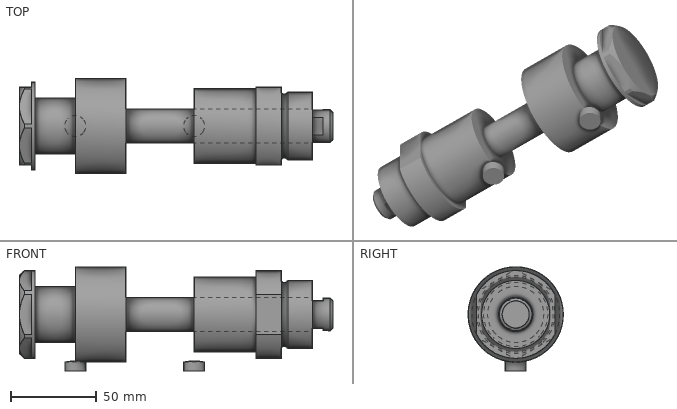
import cadquery as cq
import math

OVERALL_LENGTH = 184.4

PISTON_DIAMETER = 56.0
PISTON_START = 32.8
PISTON_LENGTH = 29.7
ROD_DIAMETER = 20.1
ROD_END_DIAMETER = 19.2
ROD_CHAMFER = 1.7
ROD_FLATS_ACROSS = 16.2
ROD_FLATS_LENGTH = 6.3

HEX_ACROSS_FLATS = 46.0
HEX_LENGTH = 7.0
FLANGE_DIAMETER = 51.6
FLANGE_LENGTH = 2.2
SHANK_DIAMETER = 33.0
HEX_CORNER_CHAMFER = (FLANGE_DIAMETER - HEX_ACROSS_FLATS) / 2

GLAND_START = 102.7
GLAND_DIAMETER = 44.0
GLAND_BARREL_LENGTH = 36.3
COLLAR_DIAMETER = 51.6
COLLAR_LENGTH = 15.0
COLLAR_ACROSS_FLATS = 46.0
SPIGOT_DIAMETER = 40.0
GLAND_END = 172.2
COLLAR_START = GLAND_START + GLAND_BARREL_LENGTH
COLLAR_END = COLLAR_START + COLLAR_LENGTH

UNDERCUT_WIDTH = 3.9
UNDERCUT_DEPTH = 1.1
UNDERCUT_FILLET = 1.1
RUNOUT_ANGLE = math.radians(45)

BUTTON_DIAMETER = 12.4
BUTTON_BOTTOM = -33.4
BUTTON_CENTERS = (PISTON_START, GLAND_START)


def cylinder_x(diameter, start, end):
    """Solid cylinder on the X axis between two x positions."""
    return cq.Workplane("YZ", origin=(start, 0, 0)).circle(diameter / 2).extrude(end - start)


def slab_x(thickness, normal, start, end):
    """Wide slab centred on the X axis, with its thickness along Y or Z."""
    width = PISTON_DIAMETER
    size_y, size_z = (thickness, width) if normal == "Y" else (width, thickness)
    return cq.Workplane("YZ", origin=(start, 0, 0)).rect(size_y, size_z).extrude(end - start)


def make_plug():
    """Hexagon head with rounded-off corners, thin flange and plain shank."""
    hex_corner_diameter = HEX_ACROSS_FLATS / math.cos(math.pi / 6)
    hexagon = (
        cq.Workplane("YZ")
        .transformed(rotate=(0, 0, 90))
        .polygon(6, hex_corner_diameter)
        .extrude(HEX_LENGTH)
    )
    corner_limit = cylinder_x(FLANGE_DIAMETER, 0, HEX_LENGTH).faces("<X").chamfer(HEX_CORNER_CHAMFER)
    head = hexagon.intersect(corner_limit)
    flange_end = HEX_LENGTH + FLANGE_LENGTH
    flange = cylinder_x(FLANGE_DIAMETER, HEX_LENGTH, flange_end)
    shank = cylinder_x(SHANK_DIAMETER, flange_end, PISTON_START)
    return head.union(flange).union(shank)


def make_piston_rod():
    """Piston with its rod; the free end is slightly thinner, chamfered and has two wrench flats."""
    piston_end = PISTON_START + PISTON_LENGTH
    flats_end = GLAND_END + ROD_FLATS_LENGTH
    piston = cylinder_x(PISTON_DIAMETER, PISTON_START, piston_end)
    rod = cylinder_x(ROD_DIAMETER, piston_end, GLAND_END)
    flatted_rod = cylinder_x(ROD_END_DIAMETER, GLAND_END, flats_end).intersect(
        slab_x(ROD_FLATS_ACROSS, "Z", GLAND_END, flats_end)
    )
    tip = cylinder_x(ROD_END_DIAMETER, flats_end, OVERALL_LENGTH).faces(">X").chamfer(ROD_CHAMFER)
    return piston.union(rod).union(flatted_rod).union(tip)


def make_neck_and_spigot():
    """Turned end of the gland: undercut next to the collar, then the spigot."""
    spigot_radius = SPIGOT_DIAMETER / 2
    floor_radius = spigot_radius - UNDERCUT_DEPTH
    fillet_center_radius = floor_radius + UNDERCUT_FILLET
    spigot_start = COLLAR_END + UNDERCUT_WIDTH

    runout_rise = UNDERCUT_FILLET * (1 - math.cos(RUNOUT_ANGLE))
    slope_start = spigot_start - (UNDERCUT_DEPTH - runout_rise) / math.tan(RUNOUT_ANGLE)
    runout_center = slope_start - UNDERCUT_FILLET * math.sin(RUNOUT_ANGLE)
    runout_middle = (
        runout_center + UNDERCUT_FILLET * math.sin(RUNOUT_ANGLE / 2),
        fillet_center_radius - UNDERCUT_FILLET * math.cos(RUNOUT_ANGLE / 2),
    )

    collar_fillet_center = COLLAR_END + UNDERCUT_FILLET
    half_quarter_turn = math.pi / 4
    collar_fillet_middle = (
        collar_fillet_center - UNDERCUT_FILLET * math.sin(half_quarter_turn),
        fillet_center_radius - UNDERCUT_FILLET * math.cos(half_quarter_turn),
    )

    return (
        cq.Workplane("XY")
        .moveTo(COLLAR_END, 0)
        .lineTo(COLLAR_END, fillet_center_radius)
        .threePointArc(collar_fillet_middle, (collar_fillet_center, floor_radius))
        .lineTo(runout_center, floor_radius)
        .threePointArc(runout_middle, (slope_start, floor_radius + runout_rise))
        .lineTo(spigot_start, spigot_radius)
        .lineTo(GLAND_END, spigot_radius)
        .lineTo(GLAND_END, 0)
        .close()
        .revolve(360, (0, 0, 0), (1, 0, 0))
    )


def make_gland():
    """Barrel, collar with two flats, and spigot, bored to fit the rod."""
    barrel = cylinder_x(GLAND_DIAMETER, GLAND_START, COLLAR_START)
    collar = cylinder_x(COLLAR_DIAMETER, COLLAR_START, COLLAR_END).intersect(
        slab_x(COLLAR_ACROSS_FLATS, "Y", COLLAR_START, COLLAR_END)
    )
    bore = cylinder_x(ROD_DIAMETER, GLAND_START, GLAND_END)
    return barrel.union(collar).union(make_neck_and_spigot()).cut(bore)


def make_button(center_x):
    """Upright round button whose top is hollowed to the piston's radius."""
    blank = (
        cq.Workplane("XY", origin=(center_x, 0, BUTTON_BOTTOM))
        .circle(BUTTON_DIAMETER / 2)
        .extrude(-BUTTON_BOTTOM)
    )
    cylinder_wall = cylinder_x(PISTON_DIAMETER, center_x - BUTTON_DIAMETER, center_x + BUTTON_DIAMETER)
    return blank.cut(cylinder_wall)


plug = make_plug()
piston_rod = make_piston_rod()
gland = make_gland()
buttons = [make_button(center_x) for center_x in BUTTON_CENTERS]

result = cq.Compound.makeCompound(
    [plug.val(), piston_rod.val(), gland.val(), *[button.val() for button in buttons]]
)